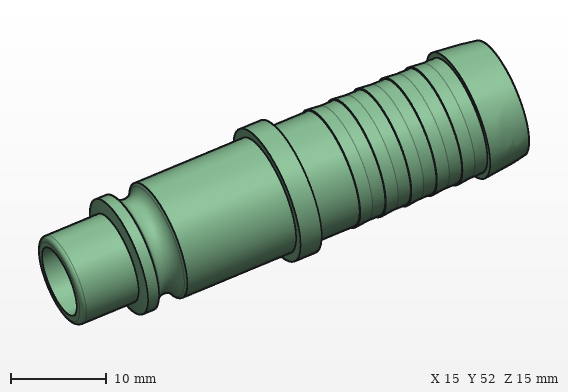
import cadquery as cq

length = 52.0
bore_radius = 3.85
body_radius = 6.5

tip_radius = 5.0
tip_length = 6.7
tip_rounding = 0.5

flange_front = 7.0

groove_center = 10.0
groove_bottom_radius = 5.35
groove_arc_half_width = 1.45
groove_arc_rim_radius = 6.2
groove_half_width = 1.65

collar_radius = 7.5
collar_start = 24.5
collar_width = 2.5
collar_end = collar_start + collar_width

grip_count = 5
grip_start = 32.0
grip_pitch = 3.0
grip_length = grip_pitch / 2
grip_radius = 6.65

head_radius = 7.1
head_length = 4.95
head_start = length - head_length
head_middle = length - head_length / 2
head_bulge = 0.1
head_middle_radius = (head_radius + body_radius) / 2 + head_bulge


def add_groove(profile):
    """Continue the profile through the locking groove."""
    return (
        profile.lineTo(body_radius, groove_center - groove_half_width)
        .lineTo(groove_arc_rim_radius, groove_center - groove_arc_half_width)
        .threePointArc(
            (groove_bottom_radius, groove_center),
            (groove_arc_rim_radius, groove_center + groove_arc_half_width),
        )
        .lineTo(body_radius, groove_center + groove_half_width)
    )


def add_collar(profile):
    """Continue the profile around the stop collar."""
    return (
        profile.lineTo(body_radius, collar_start)
        .lineTo(collar_radius, collar_start)
        .lineTo(collar_radius, collar_end)
        .lineTo(body_radius, collar_end)
    )


def add_grips(profile):
    """Continue the profile along the row of hose grips."""
    for index in range(grip_count):
        start = grip_start + index * grip_pitch
        profile = (
            profile.lineTo(body_radius, start)
            .lineTo(grip_radius, start)
            .lineTo(body_radius, start + grip_length)
        )
    return profile


def add_head(profile):
    """Continue the profile over the head to the hose end."""
    return (
        profile.lineTo(body_radius, head_start)
        .lineTo(head_radius, head_start)
        .threePointArc((head_middle_radius, head_middle), (body_radius, length))
    )


profile = (
    cq.Workplane("XY")
    .moveTo(bore_radius, 0)
    .lineTo(tip_radius - tip_rounding, 0)
    .radiusArc((tip_radius, tip_rounding), -tip_rounding)
    .lineTo(tip_radius, tip_length)
    .lineTo(body_radius, flange_front)
)
profile = add_groove(profile)
profile = add_collar(profile)
profile = add_grips(profile)
profile = add_head(profile)
profile = profile.lineTo(bore_radius, length).close()

result = profile.revolve(360, (0, 0, 0), (0, 1, 0))